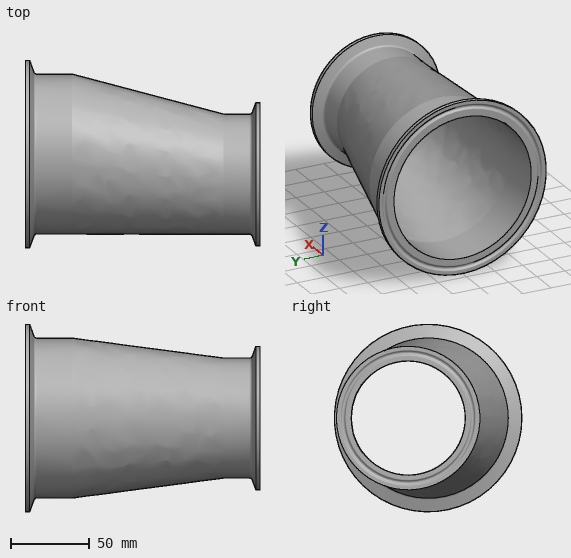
import cadquery as cq
import math

length = 149.0
wall = 2.01
large_tube_diameter = 101.6
small_tube_diameter = 76.3
large_flange_diameter = 119.0
small_flange_diameter = 91.0
large_end_length = 30.0
small_end_length = 23.2

rim_thickness = 2.8
back_slope = math.radians(20)
root_radius = 1.8

groove_inset = 4.3
groove_width = 4.0
groove_floor_radius = 1.3
groove_lip_radius = 0.9

axis_offset = (large_tube_diameter - small_tube_diameter) / 2


def revolve_about_x(profile):
    return profile.close().revolve(360, (0, 0, 0), (1, 0, 0))


def ferrule(tube_diameter, flange_diameter, end_length):
    """Solid tube end with its flange face at X = 0 and the groove cut."""
    tube_radius = tube_diameter / 2
    flange_radius = flange_diameter / 2
    slope_end = rim_thickness + (flange_radius - tube_radius) * math.tan(back_slope)

    turn = math.pi / 2 - back_slope
    tangent_length = root_radius * math.tan(turn / 2)
    arc_start = (
        slope_end - tangent_length * math.sin(back_slope),
        tube_radius + tangent_length * math.cos(back_slope),
    )
    arc_end = (slope_end + tangent_length, tube_radius)
    body = revolve_about_x(
        cq.Workplane("XY")
        .lineTo(0, flange_radius)
        .lineTo(rim_thickness, flange_radius)
        .lineTo(*arc_start)
        .radiusArc(arc_end, -root_radius)
        .lineTo(end_length, tube_radius)
        .lineTo(end_length, 0)
    )

    groove_radius = flange_radius - groove_inset
    half_width = groove_width / 2
    centre_distance = groove_floor_radius + groove_lip_radius
    lip_turn = math.asin(half_width / centre_distance)
    half_floor = groove_floor_radius * math.sin(lip_turn)
    lip_depth = groove_lip_radius * (1 - math.cos(lip_turn))
    groove_depth = centre_distance * (1 - math.cos(lip_turn))
    groove = revolve_about_x(
        cq.Workplane("XY")
        .moveTo(0, groove_radius + half_width)
        .radiusArc((lip_depth, groove_radius + half_floor), -groove_lip_radius)
        .threePointArc((groove_depth, groove_radius), (lip_depth, groove_radius - half_floor))
        .radiusArc((0, groove_radius - half_width), -groove_lip_radius)
    )
    return body.cut(groove)


def transition(large_radius, small_radius):
    """Straight loft between the two offset circles."""
    return (
        cq.Workplane("YZ", origin=(large_end_length, 0, 0))
        .circle(large_radius)
        .workplane(offset=length - large_end_length - small_end_length)
        .center(-axis_offset, 0)
        .circle(small_radius)
        .loft(ruled=True)
    )


def place_small_end(shape):
    """Turn an end around to face +X and move it onto the small tube's axis."""
    return shape.rotate((0, 0, 0), (0, 0, 1), 180).translate((length, -axis_offset, 0))


def end_bore(tube_diameter, end_length):
    return cq.Workplane("YZ").circle(tube_diameter / 2 - wall).extrude(end_length)


outside = (
    ferrule(large_tube_diameter, large_flange_diameter, large_end_length)
    .union(transition(large_tube_diameter / 2, small_tube_diameter / 2))
    .union(place_small_end(ferrule(small_tube_diameter, small_flange_diameter, small_end_length)))
)

passage = (
    end_bore(large_tube_diameter, large_end_length)
    .union(transition(large_tube_diameter / 2 - wall, small_tube_diameter / 2 - wall))
    .union(place_small_end(end_bore(small_tube_diameter, small_end_length)))
)

result = outside.cut(passage)